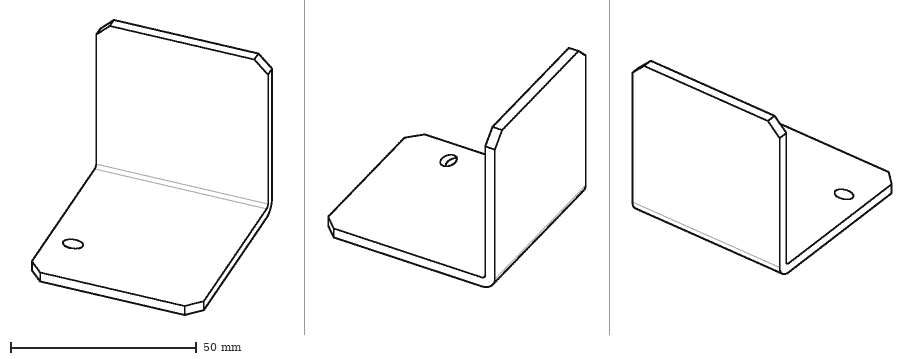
import cadquery as cq

width = 50.0
base_length = 54.0
wall_height = 51.0
thickness = 3.0
inner_bend_radius = 0.95
outer_bend_radius = inner_bend_radius + thickness
corner_chamfer = 4.0

hole_diameter = 4.0
hole_tilt = 45.0
hole_from_side = 7.4
hole_from_front = 15.55
hole_cutter_length = 6 * thickness


def bent_plate():
    """L-shaped plate with its wall along the +Y side and a rounded bend."""
    wall_inner_y = base_length - thickness
    plate = (
        cq.Workplane("YZ")
        .moveTo(0, 0)
        .lineTo(base_length, 0)
        .lineTo(base_length, wall_height)
        .lineTo(wall_inner_y, wall_height)
        .lineTo(wall_inner_y, thickness)
        .lineTo(0, thickness)
        .close()
        .extrude(width)
    )
    inner_bend = cq.selectors.NearestToPointSelector((width / 2, wall_inner_y, thickness))
    outer_bend = cq.selectors.NearestToPointSelector((width / 2, base_length, 0))
    plate = plate.edges("|X").edges(inner_bend).fillet(inner_bend_radius)
    return plate.edges("|X").edges(outer_bend).fillet(outer_bend_radius)


def slanted_hole():
    """Cylinder centred on the top face of the base, tilted about Y."""
    return (
        cq.Workplane("XY", origin=(0, 0, -hole_cutter_length / 2))
        .circle(hole_diameter / 2)
        .extrude(hole_cutter_length)
        .rotate((0, 0, 0), (0, 1, 0), hole_tilt)
        .translate((hole_from_side, hole_from_front, thickness))
    )


plate = bent_plate()
plate = plate.faces("<Y").edges("|Z").chamfer(corner_chamfer)
plate = plate.faces(">Z").edges("|Y").chamfer(corner_chamfer)
result = plate.cut(slanted_hole())